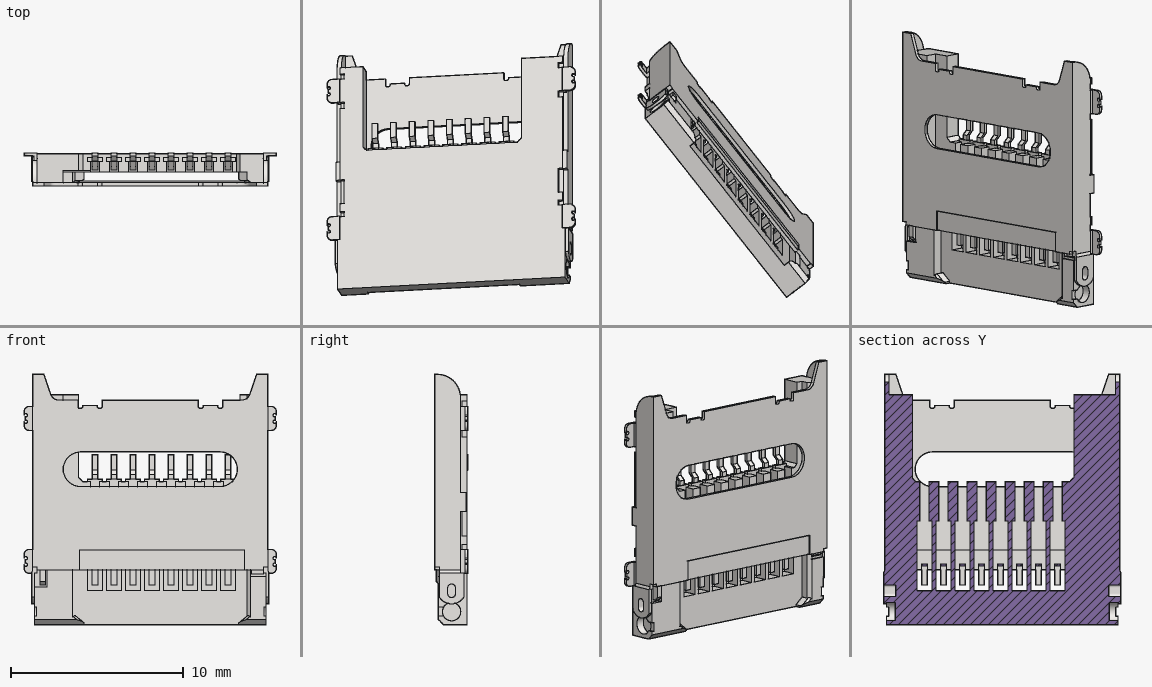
import cadquery as cq
import math


TOTAL_WIDTH = 14.6
TOTAL_DEPTH = 1.93
TOTAL_HEIGHT = 14.5

SHELL_HALF = 6.8
SHELL_THICK = 0.21
WALL_THICK = 0.25
SHELL_BOTTOM = 3.18
CORNER_NOTCH_TOP = 3.35
SHELL_SIDE_BACK = 1.49
SHELL_TOP = 13.0
EAR_TIP_INNER = 6.15
EAR_FOOT_INNER = 5.64
EAR_FILLET = 0.5
EAR_SHOULDER = 13.34
EAR_ROUND_START = 0.15
EAR_ROUND_RADIUS = 1.36
NOTCH_INNER = 2.78
NOTCH_OUTER = 4.19
NOTCH_BOTTOM = 12.69
RELIEF_WIDTH = 0.28
RELIEF_BOTTOM = 12.53
RELIEF_FILLET = 0.11
WINDOW_LENGTH = 10.06
WINDOW_HEIGHT = 2.0
WINDOW_Z = 9.0
PANEL_LEFT = -4.1
PANEL_RIGHT = 5.46
PANEL_TOP = 4.32
PANEL_OFFSET = 0.1
SIDE_FLAP_BOTTOM = 6.57
SIDE_FLAP_TOP = 7.66
SIDE_FLAP_BACK = 1.82

TAB_BOTTOMS = (2.97, 11.24)
TAB_HEIGHT = 1.4
TAB_THICK = 0.17
TAB_STRIP_OUTER = 6.72
TAB_CORNER = 0.3
TAB_NOTCH_RADIUS = 0.09
TAB_NOTCH_OFFSET = 0.19
TAB_NOTCH_DEPTH = 0.1
TAB_LAND_INSET = 0.06

BASE_BACK = 1.88
BASE_HALF = SHELL_HALF - WALL_THICK
FOOT_HALF = 6.7
FOOT_TOP = 3.01
FLOOR_Y = 0.82
FLOOR_TOP = 8.28
ARM_TOP = 13.32
LEFT_ARM_INNER = -4.14
LEFT_ARM_Y = 0.92
LEFT_STEP_Z = 6.6
LEFT_RAIL_INNER = -5.05
LEFT_FOOT_INNER = -4.51
LEFT_FOOT_TOP = 6.0
RIGHT_ARM_INNER = 5.19
RIGHT_ARM_TAPER = 0.2
RIGHT_RAIL_INNER = 5.59
RIGHT_RAIL_FRONT_INNER = 5.81
RIGHT_RAIL_CHAMFER_Y = 0.38
ARM_CORNER = 0.25
ENTRY_CHAMFER = 0.31
GUIDE_REACH = 0.69
GUIDE_ROOT = 0.45
GUIDE_SHOULDER = 0.55
GUIDE_SHOULDER_REACH = 0.15
GUIDE_CHAMFER = 0.12
GUIDE_TIP = 0.11

SIDE_RECESSES = ((4.36, 4.66), (5.14, 6.57), (10.87, 11.24), (12.64, 12.95))
SIDE_RECESS_DEPTH = 0.25
SIDE_RECESS_FRONT = 1.6

CONTACT_COUNT = 8
CONTACT_PITCH = 1.1
FIRST_CONTACT_X = -3.2
CONTACT_WIDTH = 0.33
CONTACT_THICK = 0.19
POCKET_WIDTH = 0.86
POCKET_BOTTOM = 1.98
POCKET_TOP = 6.0
POCKET_BACK = 1.6
SPRING_BOTTOM = 2.29
SPRING_Y = 0.95
SPRING_BEND_BOTTOM = 3.4
SPRING_BEND_TOP = 3.7
GROOVE_WIDTH = 0.52
PLATE_WIDTH = 0.87
PLATE_TOP = 8.43
PLATE_FRONT = 1.42
PLATE_BACK = 1.67
TAIL_TOP = 9.84
TAIL_FRONT = TOTAL_DEPTH - CONTACT_THICK
TAIL_STEPS = ((1.46, 8.5), (1.46, 8.71), (TAIL_FRONT, 8.95))

LATCH_FACE = 6.87
LATCH_FRONT = 0.28
LATCH_BACK = 1.69
LATCH_SHOULDER = 1.6
LATCH_BOTTOM = 1.21
LATCH_HOLE_WIDTH = 0.45
LATCH_HOLE_HEIGHT = 0.78
LATCH_HOLE_Z = 1.97
LATCH_HOLE_DEPTH = 0.7
BORE_Z = 0.76
BORE_RADIUS = 0.53
BORE_DEPTH = 0.5
BORE_VENT_HEIGHT = 0.52
BORE_VENT_DEPTH = 0.13
SWITCH_RIGHT = -5.96
SWITCH_BOTTOM = 2.18
SWITCH_DEPTH = 0.25
SWITCH_PIN_X = -6.22
SWITCH_PIN_BOTTOM = 2.3
SWITCH_PIN_FRONT = 0.09
SWITCH_PIN_CHAMFER = 0.2
RIGHT_LEDGE_Z = 2.8
RIGHT_LEDGE_DEPTH = 0.1
RIGHT_STEP_LEFT = 5.86
RIGHT_STEP_Z = 2.93
RIGHT_STEP_DEPTH = 0.3


def box(x0, x1, y0, y1, z0, z1):
    return cq.Workplane("XY").box(x1 - x0, y1 - y0, z1 - z0, centered=False).translate((x0, y0, z0))


def front_sketch(y):
    """Sketch plane at depth y, drawn in X and Z; extrude(-d) goes toward +Y."""
    return cq.Workplane("XZ", origin=(0, y, 0))


def side_sketch(x):
    """Sketch plane at width x, drawn in Y and Z; extrude(d) goes toward +X."""
    return cq.Workplane("YZ", origin=(x, 0, 0))


def mirrored(shape):
    """The shape together with its mirror image across the middle plane."""
    return shape.union(shape.mirror("YZ"))


def contact_positions():
    return [FIRST_CONTACT_X + i * CONTACT_PITCH for i in range(CONTACT_COUNT)]


def make_shell():
    """Front plate with ears, side walls and a panel pressed inward along the lower edge."""
    plate = (
        front_sketch(0)
        .polyline([
            (-SHELL_HALF, SHELL_BOTTOM), (SHELL_HALF, SHELL_BOTTOM),
            (SHELL_HALF, TOTAL_HEIGHT), (EAR_TIP_INNER, TOTAL_HEIGHT),
            (EAR_FOOT_INNER, SHELL_TOP), (-EAR_FOOT_INNER, SHELL_TOP),
            (-EAR_TIP_INNER, TOTAL_HEIGHT), (-SHELL_HALF, TOTAL_HEIGHT),
        ])
        .close()
        .extrude(-SHELL_THICK)
    )
    for x in (-EAR_FOOT_INNER, EAR_FOOT_INNER):
        ear_root = cq.selectors.NearestToPointSelector((x, SHELL_THICK / 2, SHELL_TOP))
        plate = plate.edges("|Y").edges(ear_root).fillet(EAR_FILLET)

    arc_z = TOTAL_HEIGHT - EAR_ROUND_RADIUS
    diagonal = EAR_ROUND_RADIUS * math.sqrt(0.5)
    arc_mid = (EAR_ROUND_START + diagonal, arc_z + diagonal)
    wall = (
        side_sketch(-SHELL_HALF)
        .moveTo(0, SHELL_BOTTOM)
        .lineTo(SHELL_SIDE_BACK, SHELL_BOTTOM)
        .lineTo(SHELL_SIDE_BACK, EAR_SHOULDER)
        .threePointArc(arc_mid, (EAR_ROUND_START, TOTAL_HEIGHT))
        .lineTo(0, TOTAL_HEIGHT)
        .close()
        .extrude(WALL_THICK)
    )
    flap = box(-SHELL_HALF, -BASE_HALF, SHELL_SIDE_BACK, SIDE_FLAP_BACK, SIDE_FLAP_BOTTOM, SIDE_FLAP_TOP)
    panel = box(PANEL_LEFT, PANEL_RIGHT, SHELL_THICK, SHELL_THICK + PANEL_OFFSET, SHELL_BOTTOM, PANEL_TOP)
    shell = plate.union(mirrored(wall.union(flap))).union(panel)

    recess = box(PANEL_LEFT, PANEL_RIGHT, 0, PANEL_OFFSET, SHELL_BOTTOM, PANEL_TOP)
    window = front_sketch(0).center(0, WINDOW_Z).slot2D(WINDOW_LENGTH, WINDOW_HEIGHT).extrude(-SHELL_THICK)
    corner = box(-SHELL_HALF, -BASE_HALF, 0, LATCH_FRONT, SHELL_BOTTOM, CORNER_NOTCH_TOP)
    return shell.cut(recess).cut(window).cut(mirrored(corner.union(make_edge_notch())))


def make_edge_notch():
    """Stepped notch in the shell's upper edge with a rounded relief at each end."""
    notch = box(-NOTCH_OUTER, -NOTCH_INNER, 0, SHELL_THICK, NOTCH_BOTTOM, SHELL_TOP)
    for x in (-NOTCH_OUTER, -NOTCH_INNER - RELIEF_WIDTH):
        relief = box(x, x + RELIEF_WIDTH, 0, SHELL_THICK, RELIEF_BOTTOM, SHELL_TOP)
        notch = notch.union(relief.edges("|Y and <Z").fillet(RELIEF_FILLET))
    return notch


def make_tab(bottom):
    """Left solder tab with a notched outer edge, and the strip that joins it to the shell wall."""
    outer = -TOTAL_WIDTH / 2
    front = TOTAL_DEPTH - TAB_THICK
    top = bottom + TAB_HEIGHT
    middle = bottom + TAB_HEIGHT / 2
    tab = box(outer, -BASE_HALF, front, TOTAL_DEPTH, bottom, top)
    tab = tab.edges("|Y and <X").fillet(TAB_CORNER)
    land_z0 = middle - TAB_NOTCH_OFFSET
    land_z1 = middle + TAB_NOTCH_OFFSET
    tab = tab.cut(box(outer, outer + TAB_LAND_INSET, front, TOTAL_DEPTH, land_z0, land_z1))
    notches = (
        front_sketch(front)
        .pushPoints([(outer + TAB_NOTCH_DEPTH, land_z0), (outer + TAB_NOTCH_DEPTH, land_z1)])
        .circle(TAB_NOTCH_RADIUS)
        .extrude(-TAB_THICK)
    )
    strip = box(-TAB_STRIP_OUTER, -BASE_HALF, SHELL_SIDE_BACK, TOTAL_DEPTH, bottom, top)
    return tab.cut(notches).union(strip)


def make_base():
    """Floor behind the card, with a rail and a raised arm on each side."""
    floor = box(-BASE_HALF, BASE_HALF, FLOOR_Y, BASE_BACK, 0, FLOOR_TOP)
    left_rail = box(-BASE_HALF, LEFT_RAIL_INNER, SHELL_THICK, BASE_BACK, 0, ARM_TOP)
    left_foot = box(LEFT_RAIL_INNER, LEFT_FOOT_INNER, SHELL_THICK, BASE_BACK, 0, LEFT_FOOT_TOP)
    left_arm = (
        front_sketch(LEFT_ARM_Y)
        .polyline([
            (LEFT_RAIL_INNER, FLOOR_TOP), (LEFT_ARM_INNER + ARM_CORNER, FLOOR_TOP),
            (LEFT_ARM_INNER, FLOOR_TOP + ARM_CORNER),
            (LEFT_ARM_INNER, ARM_TOP), (LEFT_RAIL_INNER, ARM_TOP),
        ])
        .close()
        .extrude(LEFT_ARM_Y - BASE_BACK)
    )
    right_arm = (
        front_sketch(FLOOR_Y)
        .polyline([
            (RIGHT_ARM_INNER - RIGHT_ARM_TAPER, FLOOR_TOP), (BASE_HALF, FLOOR_TOP),
            (BASE_HALF, ARM_TOP), (RIGHT_ARM_INNER, ARM_TOP),
            (RIGHT_ARM_INNER, FLOOR_TOP + RIGHT_ARM_TAPER),
        ])
        .close()
        .extrude(FLOOR_Y - BASE_BACK)
    )
    right_rail = (
        cq.Workplane("XY")
        .polyline([
            (RIGHT_RAIL_FRONT_INNER, SHELL_THICK), (BASE_HALF, SHELL_THICK),
            (BASE_HALF, FLOOR_Y), (RIGHT_RAIL_INNER, FLOOR_Y),
            (RIGHT_RAIL_INNER, RIGHT_RAIL_CHAMFER_Y),
        ])
        .close()
        .extrude(ARM_TOP)
    )
    base = floor.union(left_rail).union(left_foot).union(left_arm).union(right_arm).union(right_rail)
    base = base.union(mirrored(box(-FOOT_HALF, -BASE_HALF, SHELL_THICK, BASE_BACK, 0, FOOT_TOP)))
    base = base.union(make_guide(LEFT_FOOT_INNER, 1)).union(make_guide(RIGHT_RAIL_FRONT_INNER, -1))
    step = box(LEFT_RAIL_INNER, FIRST_CONTACT_X, FLOOR_Y, LEFT_ARM_Y, LEFT_STEP_Z, FLOOR_TOP)
    return base.cut(step).cut(make_entry_chamfer()).cut(make_side_recesses())


def make_guide(root_x, direction):
    """Wedge at the card entry that reaches inward from the rail at root_x."""
    tip_x = root_x + direction * GUIDE_REACH
    shoulder_x = root_x + direction * GUIDE_SHOULDER_REACH
    guide = (
        front_sketch(SHELL_THICK)
        .polyline([
            (root_x, 0), (tip_x, 0), (tip_x, GUIDE_TIP), (shoulder_x, GUIDE_SHOULDER), (root_x, GUIDE_ROOT),
        ])
        .close()
        .extrude(SHELL_THICK - FLOOR_Y)
    )
    slope_middle = ((shoulder_x + tip_x) / 2, SHELL_THICK, (GUIDE_SHOULDER + GUIDE_TIP) / 2)
    return guide.edges(cq.selectors.NearestToPointSelector(slope_middle)).chamfer(GUIDE_CHAMFER)


def make_entry_chamfer():
    """Cutter for the sloped lower front edge of the foot."""
    return (
        side_sketch(-FOOT_HALF)
        .polyline([(SHELL_THICK, 0), (SHELL_THICK + ENTRY_CHAMFER, 0), (SHELL_THICK, ENTRY_CHAMFER)])
        .close()
        .extrude(2 * FOOT_HALF)
    )


def make_side_recesses():
    """Cutters for the shallow recesses in the back corners of both base sides."""
    recesses = cq.Workplane("XY")
    for bottom, top in SIDE_RECESSES:
        recess = box(-BASE_HALF, SIDE_RECESS_DEPTH - BASE_HALF, SIDE_RECESS_FRONT, BASE_BACK, bottom, top)
        recesses = recesses.add(mirrored(recess))
    return recesses.combine()


def add_contact(body, x):
    """Cut the groove and pocket of one contact at x, then add its plate, spring and solder tail."""
    pocket = box(x - POCKET_WIDTH / 2, x + POCKET_WIDTH / 2, FLOOR_Y, POCKET_BACK, POCKET_BOTTOM, POCKET_TOP)
    groove = box(x - GROOVE_WIDTH / 2, x + GROOVE_WIDTH / 2, FLOOR_Y, PLATE_FRONT, POCKET_TOP, FLOOR_TOP)
    plate = box(x - PLATE_WIDTH / 2, x + PLATE_WIDTH / 2, PLATE_FRONT, PLATE_BACK, POCKET_TOP, PLATE_TOP)
    left = x - CONTACT_WIDTH / 2
    spring = (
        side_sketch(left)
        .polyline([
            (PLATE_FRONT, POCKET_TOP), (PLATE_FRONT, SPRING_BEND_TOP),
            (SPRING_Y, SPRING_BEND_BOTTOM), (SPRING_Y, SPRING_BOTTOM),
            (SPRING_Y + CONTACT_THICK, SPRING_BOTTOM), (SPRING_Y + CONTACT_THICK, SPRING_BEND_BOTTOM),
            (PLATE_FRONT + CONTACT_THICK, SPRING_BEND_TOP), (PLATE_FRONT + CONTACT_THICK, POCKET_TOP),
        ])
        .close()
        .extrude(CONTACT_WIDTH)
    )
    root_y = TAIL_STEPS[0][0]
    front_edge = [(root_y, PLATE_TOP), *TAIL_STEPS, (TAIL_FRONT, TAIL_TOP)]
    back_edge = [(y + CONTACT_THICK, z) for y, z in reversed(front_edge)]
    tail = side_sketch(left).polyline(front_edge + back_edge).close().extrude(CONTACT_WIDTH)
    return body.cut(pocket).cut(groove).union(plate).union(spring).union(tail)


def make_latch():
    """Left side latch: a plate with a rounded lower end, bent out from the shell wall."""
    middle = (LATCH_FRONT + LATCH_BACK) / 2
    plate = (
        side_sketch(-LATCH_FACE)
        .moveTo(LATCH_FRONT, FOOT_TOP)
        .lineTo(LATCH_FRONT, LATCH_SHOULDER)
        .threePointArc((middle, LATCH_BOTTOM), (LATCH_BACK, LATCH_SHOULDER))
        .lineTo(LATCH_BACK, FOOT_TOP)
        .close()
        .extrude(LATCH_FACE - FOOT_HALF)
    )
    bend = (
        front_sketch(LATCH_FRONT)
        .polyline([
            (-LATCH_FACE, FOOT_TOP), (-BASE_HALF, FOOT_TOP),
            (-BASE_HALF, SHELL_BOTTOM), (-SHELL_HALF, SHELL_BOTTOM),
        ])
        .close()
        .extrude(LATCH_FRONT - SHELL_SIDE_BACK)
    )
    return plate.union(bend)


def make_latch_hole():
    """Upright blind slot through the left latch into the foot."""
    return (
        side_sketch(-LATCH_FACE)
        .center((LATCH_FRONT + LATCH_BACK) / 2, LATCH_HOLE_Z)
        .slot2D(LATCH_HOLE_HEIGHT, LATCH_HOLE_WIDTH, 90)
        .extrude(LATCH_HOLE_DEPTH)
    )


def make_bore():
    """Blind bore in the left side of the foot, with a shallow groove to the front face."""
    middle = (LATCH_FRONT + LATCH_BACK) / 2
    bore = side_sketch(-FOOT_HALF).center(middle, BORE_Z).circle(BORE_RADIUS).extrude(BORE_DEPTH)
    vent_z0 = BORE_Z - BORE_VENT_HEIGHT / 2
    vent_x1 = BORE_VENT_DEPTH - FOOT_HALF
    vent = box(-FOOT_HALF, vent_x1, SHELL_THICK, middle, vent_z0, vent_z0 + BORE_VENT_HEIGHT)
    return bore.union(vent)


def add_foot_details(body):
    """Switch pocket with its pin on the left rail, and the ledge on the right rail."""
    pocket_back = SHELL_THICK + SWITCH_DEPTH
    pocket = box(-FOOT_HALF, SWITCH_RIGHT, SHELL_THICK, pocket_back, SWITCH_BOTTOM, SHELL_BOTTOM)
    pin_left = SWITCH_PIN_X - CONTACT_WIDTH / 2
    pin_right = SWITCH_PIN_X + CONTACT_WIDTH / 2
    pin = box(pin_left, pin_right, SWITCH_PIN_FRONT, pocket_back, SWITCH_PIN_BOTTOM, SHELL_BOTTOM)
    pin = pin.edges("<Y and <Z").chamfer(SWITCH_PIN_CHAMFER)
    ledge_back = SHELL_THICK + RIGHT_LEDGE_DEPTH
    ledge = box(RIGHT_RAIL_FRONT_INNER, FOOT_HALF, SHELL_THICK, ledge_back, RIGHT_LEDGE_Z, SHELL_BOTTOM)
    step_back = SHELL_THICK + RIGHT_STEP_DEPTH
    step = box(RIGHT_STEP_LEFT, BASE_HALF, SHELL_THICK, step_back, RIGHT_STEP_Z, SHELL_BOTTOM)
    return body.cut(pocket).union(pin).cut(ledge).cut(step)


base = make_base()
for contact_x in contact_positions():
    base = add_contact(base, contact_x)
base = add_foot_details(base.cut(mirrored(make_bore())))

side_parts = make_latch()
for tab_bottom in TAB_BOTTOMS:
    side_parts = side_parts.union(make_tab(tab_bottom))

result = base.union(make_shell()).union(mirrored(side_parts)).cut(mirrored(make_latch_hole()))